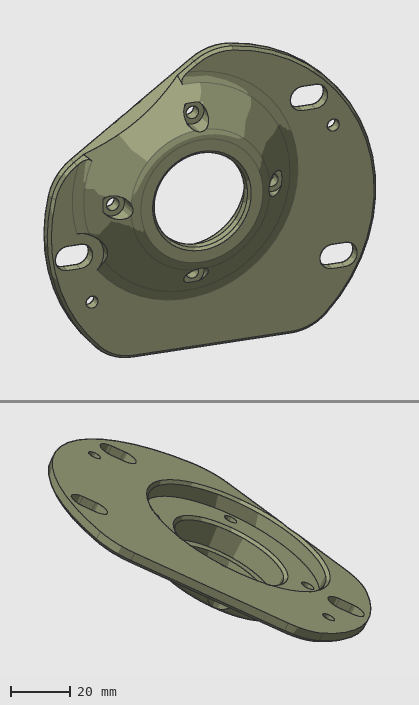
import cadquery as cq
import math


plate_radius = 59.9
plate_thickness = 4.1
rim_chamfer = 1.1
bottom_flat_distance = 48.2
bottom_corner_radius = 18.6
bottom_flat_angle = 270.0
slant_flat_distance = 49.7
slant_corner_radius = 20.0
slant_flat_angle = 124.6

hub_center = (-10.1, 11.7)
hub_height = 19.0
cone_base_radius = 43.1
hub_top_round = 4.4
foot_fillet = 5.0

recess_radius = 33.5
recess_depth = 6.0
seat_radius = 20.5
seat_depth = 15.1
bore_radius = 17.0
entry_chamfer = 1.1
exit_chamfer = 1.0

screw_count = 4
screw_circle_radius = 29.0
screw_hole_radius = 2.3
screw_pocket_radius = 4.2
screw_pocket_floor = 10.5

pin_hole_radius = 2.2
pin_holes = [(44.0, 25.5), (-44.0, -25.5)]
slot_length = 13.5
slot_width = 8.7
slot_clearance_width = 16.8
slot_centers = [(35.1, 36.9), (45.9, -22.2), (-50.6, -8.3)]


def polar(radius, angle):
    turn = math.radians(angle)
    return radius * math.cos(turn), radius * math.sin(turn)


def flat_corners(flat_distance, corner_radius, flat_angle):
    """Two rounded corners joining a flat to the disc, in anticlockwise order.

    Each corner is given as (start, middle, end) of its arc.
    """
    reach = plate_radius - corner_radius
    spread = math.degrees(math.acos((flat_distance - corner_radius) / reach))
    corners = []
    for center_angle, start_angle, end_angle in (
        (flat_angle - spread, flat_angle - spread, flat_angle),
        (flat_angle + spread, flat_angle, flat_angle + spread),
    ):
        center_y, center_z = polar(reach, center_angle)
        arc = []
        for angle in (start_angle, (start_angle + end_angle) / 2, end_angle):
            offset_y, offset_z = polar(corner_radius, angle)
            arc.append((center_y + offset_y, center_z + offset_z))
        corners.append(arc)
    return corners, spread


def plate_outline(x):
    """Disc with a bottom flat and a slanted flat, both with rounded ends."""
    slant, slant_spread = flat_corners(slant_flat_distance, slant_corner_radius, slant_flat_angle)
    bottom, bottom_spread = flat_corners(bottom_flat_distance, bottom_corner_radius, bottom_flat_angle)
    long_side_middle = (slant_flat_angle + slant_spread + bottom_flat_angle - bottom_spread) / 2
    short_side_middle = (bottom_flat_angle + bottom_spread + slant_flat_angle + 360 - slant_spread) / 2
    outline = cq.Workplane("YZ", origin=(x, 0, 0)).moveTo(*slant[0][0])
    for first, second, side_middle, next_start in (
        (slant[0], slant[1], long_side_middle, bottom[0][0]),
        (bottom[0], bottom[1], short_side_middle, slant[0][0]),
    ):
        outline = outline.threePointArc(first[1], first[2])
        outline = outline.lineTo(*second[0]).threePointArc(second[1], second[2])
        outline = outline.threePointArc(polar(plate_radius, side_middle), next_start)
    return outline.close()


def cylinder(center, radius, start, end):
    sketch = cq.Workplane("YZ", origin=(start, 0, 0)).center(*center)
    return sketch.circle(radius).extrude(end - start)


def frustum(center, start_radius, end_radius, start, end):
    lower = cq.Workplane("YZ", origin=(start, 0, 0)).center(*center).circle(start_radius)
    return lower.workplane(offset=end - start).circle(end_radius).loft()


def slot(center, length, width, start, end):
    sketch = cq.Workplane("YZ", origin=(start, 0, 0)).center(*center)
    return sketch.slot2D(length, width).extrude(end - start)


def make_plate():
    rim_start = plate_thickness - rim_chamfer
    rim = plate_outline(rim_start).extrude(rim_chamfer, taper=45)
    return plate_outline(0).extrude(rim_start).union(rim)


def make_cone():
    cone = frustum(hub_center, cone_base_radius, cone_base_radius - hub_height, 0, hub_height)
    cone = cone.faces(">X").edges().fillet(hub_top_round)
    return cone.intersect(plate_outline(0).extrude(hub_height))


def make_foot():
    """Concave fillet ring between plate and cone, trimmed by the extended rim chamfer."""
    tangent_length = foot_fillet * math.tan(math.radians(22.5))
    rise = tangent_length * math.sin(math.radians(45))
    corner_radius = cone_base_radius - plate_thickness
    outer_radius = corner_radius + tangent_length
    arc_middle_radius = outer_radius - foot_fillet * math.sin(math.radians(22.5))
    arc_middle_x = plate_thickness + foot_fillet * (1 - math.cos(math.radians(22.5)))
    center_y, center_z = hub_center
    ring = (
        cq.Workplane("XY", origin=(0, center_y, center_z))
        .moveTo(plate_thickness, corner_radius)
        .lineTo(plate_thickness, outer_radius)
        .threePointArc(
            (arc_middle_x, arc_middle_radius),
            (plate_thickness + rise, corner_radius - rise),
        )
        .close()
        .revolve(360, (0, 0, 0), (1, 0, 0))
    )
    trim = plate_outline(plate_thickness - rim_chamfer).extrude(rim_chamfer + rise, taper=45)
    return ring.intersect(trim)


def cut_bore(body):
    for radius, start, depth in (
        (recess_radius, 0, recess_depth),
        (seat_radius, recess_depth, seat_depth),
    ):
        body = body.cut(cylinder(hub_center, radius, start, depth))
        entry = frustum(hub_center, radius + entry_chamfer, radius, start, start + entry_chamfer)
        body = body.cut(entry)
    exit_start = hub_height - exit_chamfer
    exit_cone = frustum(hub_center, bore_radius, bore_radius + exit_chamfer, exit_start, hub_height)
    return body.cut(cylinder(hub_center, bore_radius, 0, hub_height)).cut(exit_cone)


def cut_hub_screws(body):
    for index in range(screw_count):
        offset_y, offset_z = polar(screw_circle_radius, index * 360 / screw_count)
        center = (hub_center[0] + offset_y, hub_center[1] + offset_z)
        body = body.cut(cylinder(center, screw_hole_radius, 0, hub_height))
        body = body.cut(cylinder(center, screw_pocket_radius, screw_pocket_floor, hub_height))
    return body


def cut_plate_openings(body):
    for center in pin_holes:
        body = body.cut(cylinder(center, pin_hole_radius, 0, hub_height))
    clearance_length = slot_length + slot_clearance_width - slot_width
    for center in slot_centers:
        body = body.cut(slot(center, slot_length, slot_width, 0, hub_height))
        clearance = slot(center, clearance_length, slot_clearance_width, plate_thickness, hub_height)
        body = body.cut(clearance)
    return body


body = make_plate().union(make_cone()).union(make_foot())
body = cut_bore(body)
body = cut_hub_screws(body)
body = cut_plate_openings(body)
result = body